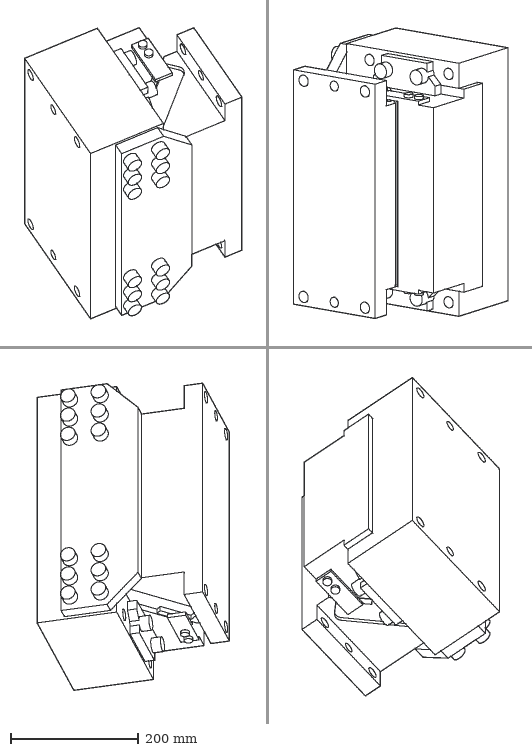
import cadquery as cq
import math


ENDS = (1, -1)

BLOCK_X = 220.0
BLOCK_Y = 130.0
BLOCK_HALF_Z = 205.0
CORNER_HOLE_D = 18.0
CORNER_HOLE_XS = (20.0, 175.0)
CORNER_HOLE_Z = 185.0
DOWEL_HOLE_D = 16.0
DOWEL_HOLE_Z = 180.0

BOLT_D = 23.8
BOLT_HEAD = 16.0
BOLT_Z = 179.0

SLIDE_HALF_Z = 150.0
SLIDE_LEFT = -10.0
SLIDE_BACK = 210.0
SLIDE_FOOT_Y = 80.5
SLIDE_FOOT_HALF_Z = 164.5

DRIVER_LEFT = 60.0
DRIVER_BACK = 270.0
DRIVER_HALF_Z = 149.0
FLANGE_THICKNESS = 30.5
FLANGE_HALF_Z = 190.0
FLANGE_HOLE_EDGE = 20.0
FLANGE_HOLE_DROP = 14.8

CAM_SUM = DRIVER_LEFT + SLIDE_BACK
TOOTH_SUM = CAM_SUM + 7.0
RAIL_SUM = CAM_SUM + 14.5
POCKET_SUM = 333.7
POCKET_DIFF = 138.5
RAIL_END_DIFF = 59.0
POCKET_DEPTH = 7.8
POCKET_RADIUS = 12.0
CAM_FOOT_X = CAM_SUM - BLOCK_Y

KEEPER_CENTER_X = 95.5
KEEPER_HALF_X = 60.3
KEEPER_HALF_TOP_X = 44.5
KEEPER_THICKNESS = 15.0
KEEPER_SHOULDER_Z = 165.5
KEEPER_BOLT_SPACING = 70.0
PLATE_HALF_Z = 200.5

STOP_THICKNESS = 20.0
STOP_FRONT = 44.5
STOP_SHOULDER_Y = 119.7
STOP_BOLT_YS = (60.0, 110.0)
STOP_BOLT_ROWS = 3
STOP_BOLT_PITCH = 35.0

BRACKET_X = 20.0
BRACKET_LENGTH = 80.5
BRACKET_WIDTH = 30.0
BRACKET_THICKNESS = 6.0
BRACKET_BOLT_D = 14.0
BRACKET_BOLT_HEAD = 5.0
BRACKET_BOLT_XS = (30.0, 50.0)


def slab(x0, x1, y0, y1, half_z):
    """Box between two X and two Y planes, centred on Z = 0."""
    return cq.Workplane("XY").box(x1 - x0, y1 - y0, 2 * half_z).translate(((x0 + x1) / 2, (y0 + y1) / 2, 0))


def rod_along_x(x, y, z, diameter, length):
    return cq.Workplane("YZ", origin=(x, y, z)).circle(diameter / 2).extrude(length)


def rod_along_y(x, y, z, diameter, length):
    """Cylinder that starts at the given point and runs toward +Y."""
    return cq.Workplane("XZ", origin=(x, y, z)).circle(diameter / 2).extrude(-length)


def crossing(plane_sum, plane_diff):
    """Point where the plane X + Y = plane_sum meets the plane Y - X = plane_diff."""
    return ((plane_sum - plane_diff) / 2, (plane_sum + plane_diff) / 2)


def end_layer(outline, z_inner, z_outer, end):
    """Prism between two heights, on the top (+1) or bottom (-1) end."""
    return outline.extrude(end * (z_outer - z_inner)).translate((0, 0, end * z_inner))


def make_slide_foot():
    """Foot of the slide; its space in the housing block has the same shape."""
    return slab(SLIDE_LEFT, CAM_FOOT_X, SLIDE_FOOT_Y, BLOCK_Y, SLIDE_FOOT_HALF_Z)


def make_block():
    block = slab(0, BLOCK_X, 0, BLOCK_Y, BLOCK_HALF_Z).cut(make_slide_foot())
    for end in ENDS:
        for x in CORNER_HOLE_XS:
            block = block.cut(rod_along_y(x, 0, end * CORNER_HOLE_Z, CORNER_HOLE_D, BLOCK_Y))
        block = block.cut(rod_along_y(KEEPER_CENTER_X, 0, end * DOWEL_HOLE_Z, DOWEL_HOLE_D, BLOCK_Y))
    return block


def make_keeper(end):
    """Keeper plate with 45 degree shoulders and its two bolts."""
    slope_top_z = KEEPER_SHOULDER_Z + KEEPER_HALF_X - KEEPER_HALF_TOP_X
    half_outline = [
        (KEEPER_HALF_X, SLIDE_HALF_Z),
        (KEEPER_HALF_X, KEEPER_SHOULDER_Z),
        (KEEPER_HALF_TOP_X, slope_top_z),
        (KEEPER_HALF_TOP_X, PLATE_HALF_Z),
    ]
    right_side = [(KEEPER_CENTER_X + x, end * z) for x, z in half_outline]
    left_side = [(KEEPER_CENTER_X - x, end * z) for x, z in reversed(half_outline)]
    plate = cq.Workplane("XZ", origin=(0, BLOCK_Y, 0)).polyline(right_side + left_side).close()
    keeper = plate.extrude(-KEEPER_THICKNESS)
    for side in (-1, 1):
        x = KEEPER_CENTER_X + side * KEEPER_BOLT_SPACING / 2
        bolt = rod_along_y(x, BLOCK_Y, end * BOLT_Z, BOLT_D, KEEPER_THICKNESS + BOLT_HEAD)
        keeper = keeper.union(bolt)
    return keeper


def make_stop():
    """Stop plate, narrowing at 45 degrees to the slide width, with its bolts."""
    stop_back = STOP_SHOULDER_Y + PLATE_HALF_Z - SLIDE_HALF_Z
    outline = [
        (STOP_FRONT, -PLATE_HALF_Z),
        (STOP_SHOULDER_Y, -PLATE_HALF_Z),
        (stop_back, -SLIDE_HALF_Z),
        (stop_back, SLIDE_HALF_Z),
        (STOP_SHOULDER_Y, PLATE_HALF_Z),
        (STOP_FRONT, PLATE_HALF_Z),
    ]
    stop = cq.Workplane("YZ", origin=(BLOCK_X, 0, 0)).polyline(outline).close().extrude(STOP_THICKNESS)
    for end in ENDS:
        for row in range(STOP_BOLT_ROWS):
            z = end * (BOLT_Z - row * STOP_BOLT_PITCH)
            for y in STOP_BOLT_YS:
                stop = stop.union(rod_along_x(BLOCK_X, y, z, BOLT_D, STOP_THICKNESS + BOLT_HEAD))
    return stop


def make_housing():
    housing = make_block().union(make_stop())
    for end in ENDS:
        housing = housing.union(make_keeper(end))
    return housing


def make_bracket(end):
    """Flat return bracket with two bolt heads."""
    bracket_y = SLIDE_BACK - BRACKET_WIDTH
    bracket_top = SLIDE_HALF_Z + BRACKET_THICKNESS
    plate = cq.Workplane("XY").rect(BRACKET_LENGTH, BRACKET_WIDTH)
    plate = end_layer(plate, SLIDE_HALF_Z, bracket_top, end)
    bracket = plate.translate((BRACKET_X + BRACKET_LENGTH / 2, bracket_y + BRACKET_WIDTH / 2, 0))
    for x in BRACKET_BOLT_XS:
        head = cq.Workplane("XY").center(x, bracket_y + BRACKET_WIDTH / 2).circle(BRACKET_BOLT_D / 2)
        bracket = bracket.union(end_layer(head, bracket_top, bracket_top + BRACKET_BOLT_HEAD, end))
    return bracket


def make_slide():
    outline = [
        (SLIDE_LEFT, BLOCK_Y),
        (CAM_FOOT_X, BLOCK_Y),
        (DRIVER_LEFT, SLIDE_BACK),
        (SLIDE_LEFT, SLIDE_BACK),
    ]
    slide = cq.Workplane("XY").polyline(outline).close().extrude(SLIDE_HALF_Z, both=True)
    slide = slide.union(make_slide_foot())
    for end in ENDS:
        slide = slide.union(make_bracket(end))
    return slide


def make_driver_body():
    """Wedge with a tooth set back from the cam face at its upper left."""
    outline = [
        (CAM_FOOT_X, BLOCK_Y),
        (BLOCK_X, BLOCK_Y),
        (BLOCK_X, DRIVER_BACK),
        (DRIVER_LEFT, DRIVER_BACK),
        (DRIVER_LEFT, TOOTH_SUM - DRIVER_LEFT),
        crossing(TOOTH_SUM, POCKET_DIFF),
        crossing(CAM_SUM, POCKET_DIFF),
    ]
    return cq.Workplane("XY").polyline(outline).close().extrude(DRIVER_HALF_Z, both=True)


def make_pocket(end):
    """Shallow pocket in the driver end, around a rail that is left standing along the cam face."""
    arc_reach = POCKET_RADIUS / math.sqrt(2)
    corner_x, corner_y = crossing(POCKET_SUM, POCKET_DIFF)
    arc_top_y = corner_y - POCKET_RADIUS * (math.sqrt(2) - 1)
    outline = (
        cq.Workplane("XY")
        .moveTo(*crossing(RAIL_SUM, POCKET_DIFF))
        .lineTo(corner_x - arc_reach, corner_y - arc_reach)
        .threePointArc((corner_x, arc_top_y), (corner_x + arc_reach, corner_y - arc_reach))
        .lineTo(POCKET_SUM - BLOCK_Y, BLOCK_Y)
        .lineTo(CAM_FOOT_X, BLOCK_Y)
        .lineTo(*crossing(CAM_SUM, RAIL_END_DIFF))
        .lineTo(*crossing(RAIL_SUM, RAIL_END_DIFF))
        .close()
    )
    return end_layer(outline, DRIVER_HALF_Z - POCKET_DEPTH, DRIVER_HALF_Z, end)


def make_flange():
    """Mounting flange on the back of the driver, with three holes along each end."""
    flange_front = DRIVER_BACK - FLANGE_THICKNESS
    flange = slab(DRIVER_LEFT, BLOCK_X, flange_front, DRIVER_BACK, FLANGE_HALF_Z)
    holes = [
        (DRIVER_LEFT + FLANGE_HOLE_EDGE, CORNER_HOLE_D),
        ((DRIVER_LEFT + BLOCK_X) / 2, DOWEL_HOLE_D),
        (BLOCK_X - FLANGE_HOLE_EDGE, CORNER_HOLE_D),
    ]
    for end in ENDS:
        z = end * (FLANGE_HALF_Z - FLANGE_HOLE_DROP)
        for x, diameter in holes:
            flange = flange.cut(rod_along_y(x, flange_front, z, diameter, FLANGE_THICKNESS))
    return flange


def make_driver():
    driver = make_driver_body()
    for end in ENDS:
        driver = driver.cut(make_pocket(end))
    return driver.union(make_flange())


housing = make_housing()
slide = make_slide()
driver = make_driver()

result = cq.Compound.makeCompound([body.solids().val() for body in (housing, slide, driver)])